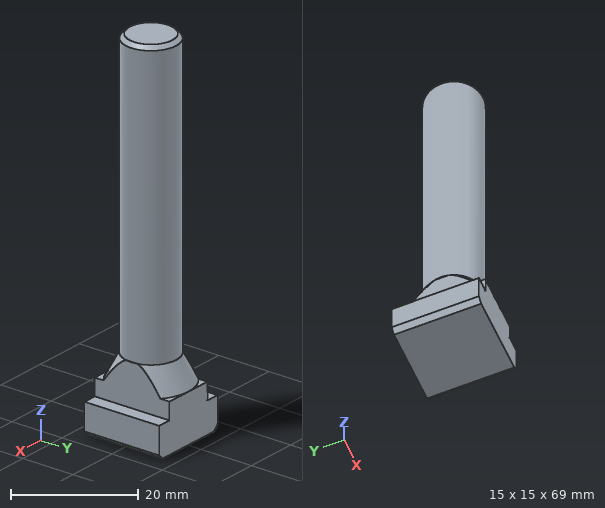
import cadquery as cq

total_height = 69.0
shank_diameter = 10.0
shank_chamfer = 0.75

head_size = 15.0
head_height = 6.0
head_chamfer = 0.9
neck_width = 9.7
neck_top = 9.25
cone_top = 14.0

shank_radius = shank_diameter / 2
cone_base_radius = head_size / 2


def make_head():
    """Square head with its two long lower edges chamfered."""
    head = cq.Workplane("XY").box(head_size, head_size, head_height, centered=(True, True, False))
    return head.faces("<Z").edges("|Y").chamfer(head_chamfer)


def make_neck():
    """Flat-sided neck whose upper part is trimmed from a cone."""
    block = cq.Workplane("XY").box(neck_width, head_size, neck_top, centered=(True, True, False))
    cone = (
        cq.Workplane("XZ")
        .moveTo(0, neck_top)
        .lineTo(cone_base_radius, neck_top)
        .lineTo(shank_radius, cone_top)
        .lineTo(0, cone_top)
        .close()
        .revolve(360, (0, 0, 0), (0, 1, 0))
    )
    slab = cq.Workplane("XY").box(neck_width, head_size, cone_top, centered=(True, True, False))
    return block.union(cone.intersect(slab))


def make_shank():
    """Round shank with a chamfered free end."""
    shank = (
        cq.Workplane("XY")
        .workplane(offset=cone_top)
        .circle(shank_radius)
        .extrude(total_height - cone_top)
    )
    return shank.faces(">Z").chamfer(shank_chamfer)


result = make_head().union(make_neck()).union(make_shank())